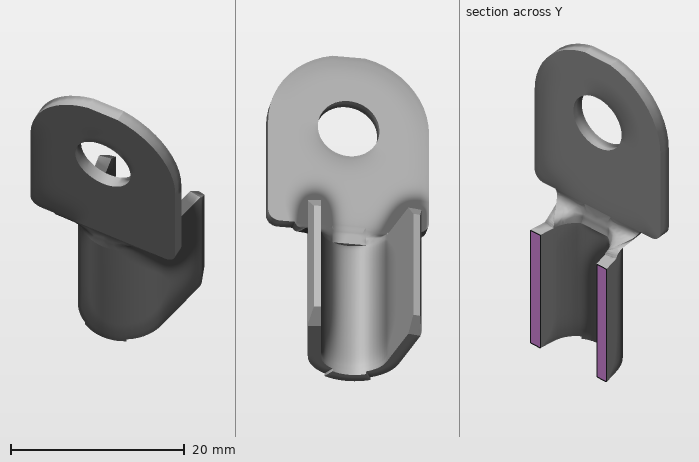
import cadquery as cq
import math


sheet = 1.5

tongue_width = 18.8
tongue_top_z = 9.2
tongue_bottom_z = -12.93
tongue_corner_radius = 1.35
hole_diameter = 7.2
hole_z = -0.15

overall_height = 41.53
neck_height = 2.55
seam_tab_height = 0.35
seam_tab_half_angle = 30.0
outer_radius = 5.4
wing_tilt = 10.0

overall_depth = 13.46
tip_bevel_length = 1.4
tip_bevel_depth = 0.65
tip_corner = 1.65

neck_lip_rise = 0.1
lip_height = 0.75
lip_outer_end = (5.3, 3.6)
lip_inner_end = (4.25, 4.15)
lip_front_y = 0.06
lip_floor_y = 1.85
lip_bulge = 0.3
waist_height = 1.55
waist_outer_end = (5.8, 1.1)
waist_inner_end = (5.65, 2.05)
waist_front_y = 0.15
waist_floor_y = 1.65
shoulder_height = 2.15
shoulder_half_width = 6.1
shoulder_front_y = 0.16
neck_top_half_width = 6.3

tongue_radius = tongue_width / 2
tongue_flat_half = math.sqrt(tongue_radius**2 - tongue_top_z**2)
inner_radius = outer_radius - sheet
part_bottom_z = tongue_top_z - overall_height
barrel_bottom_z = part_bottom_z + seam_tab_height
barrel_top_z = tongue_bottom_z - neck_height
barrel_height = barrel_top_z - barrel_bottom_z
barrel_half_angle = 90.0 - wing_tilt
tilt_sin = math.sin(math.radians(wing_tilt))
tilt_cos = math.cos(math.radians(wing_tilt))
wing_length = (overall_depth - outer_radius + inner_radius * tilt_sin) / tilt_cos
neck_half_angle = barrel_half_angle + math.degrees(neck_lip_rise / outer_radius)


def arc_point(radius, angle):
    """Point on a barrel circle; the angle is measured from the front, positive toward +X."""
    turn = math.radians(angle)
    return (radius * math.sin(turn), outer_radius - radius * math.cos(turn))


def band(half_angle, bottom_z, height):
    """Curved strip of sheet metal centred on the front of the barrel."""
    return (
        cq.Workplane("XY", origin=(0, 0, bottom_z))
        .moveTo(*arc_point(outer_radius, -half_angle))
        .threePointArc((0, 0), arc_point(outer_radius, half_angle))
        .lineTo(*arc_point(inner_radius, half_angle))
        .threePointArc((0, sheet), arc_point(inner_radius, -half_angle))
        .close()
        .extrude(height)
    )


def make_tongue():
    """Flat ring tongue: round head with a short flat on top, rounded lower corners and a hole."""
    diagonal = tongue_radius * math.sqrt(0.5)
    blank = (
        cq.Workplane("XZ")
        .moveTo(-tongue_radius, tongue_bottom_z)
        .lineTo(-tongue_radius, 0)
        .threePointArc((-diagonal, diagonal), (-tongue_flat_half, tongue_top_z))
        .lineTo(tongue_flat_half, tongue_top_z)
        .threePointArc((diagonal, diagonal), (tongue_radius, 0))
        .lineTo(tongue_radius, tongue_bottom_z)
        .close()
        .extrude(-sheet)
        .edges("|Y and <Z")
        .fillet(tongue_corner_radius)
    )
    hole = cq.Workplane("XZ", origin=(0, 0, hole_z)).circle(hole_diameter / 2).extrude(-sheet)
    return blank.cut(hole)


def make_wing():
    """Right-hand wing: tangent to the barrel, bevelled outside at the tip, with cut tip corners."""
    root = arc_point(outer_radius, barrel_half_angle)
    wing_face = cq.Plane(
        origin=(root[0], root[1], 0),
        xDir=(tilt_sin, tilt_cos, 0),
        normal=(tilt_cos, -tilt_sin, 0),
    )
    cut_corner_blank = (
        cq.Workplane(wing_face)
        .polyline([
            (0, barrel_bottom_z),
            (wing_length - tip_corner, barrel_bottom_z),
            (wing_length, barrel_bottom_z + tip_corner),
            (wing_length, barrel_top_z - tip_corner),
            (wing_length - tip_corner, barrel_top_z),
            (0, barrel_top_z),
        ])
        .close()
        .extrude(-sheet)
    )

    def place(along, inward):
        """Point in the wing's profile: distance along it from the root, depth from its outside."""
        return (
            root[0] + along * tilt_sin - inward * tilt_cos,
            root[1] + along * tilt_cos + inward * tilt_sin,
        )

    bevel = (
        cq.Workplane("XY", origin=(0, 0, barrel_bottom_z))
        .polyline([
            place(wing_length - tip_bevel_length, 0),
            place(wing_length, 0),
            place(wing_length, tip_bevel_depth),
        ])
        .close()
        .extrude(barrel_height)
    )
    return cut_corner_blank.cut(bevel)


def neck_section(height, outer_end, inner_end, front_y, floor_y, bulge):
    """Closed cross-section of the neck at a height above the barrel, symmetric about X = 0.

    The ends are given on the right-hand side. The front is an arc, or a line when it is flat;
    the back is a flat floor with a flank on each side, bowed outward by the bulge.
    """
    floor_half = arc_point(inner_radius, seam_tab_half_angle)[0]
    run = inner_end[0] - floor_half
    rise = inner_end[1] - floor_y
    length = math.hypot(run, rise)
    bow_x = (inner_end[0] + floor_half) / 2 + bulge * rise / length
    bow_y = (inner_end[1] + floor_y) / 2 - bulge * run / length

    outline = cq.Workplane("XY", origin=(0, 0, barrel_top_z + height))
    outline = outline.moveTo(-outer_end[0], outer_end[1])
    if outer_end[1] > front_y:
        outline = outline.threePointArc((0, front_y), outer_end)
    else:
        outline = outline.lineTo(*outer_end)
    outline = outline.lineTo(*inner_end)
    if bulge > 0:
        outline = outline.threePointArc((bow_x, bow_y), (floor_half, floor_y))
        outline = outline.lineTo(-floor_half, floor_y)
        outline = outline.threePointArc((-bow_x, bow_y), (-inner_end[0], inner_end[1]))
    else:
        outline = outline.lineTo(floor_half, floor_y)
        outline = outline.lineTo(-floor_half, floor_y)
        outline = outline.lineTo(-inner_end[0], inner_end[1])
    return outline.close().val()


def make_neck():
    """Neck that turns the curved barrel into the flat tongue through successive sections."""
    flank_half_angle = math.radians(neck_half_angle - seam_tab_half_angle) / 2
    barrel_section = neck_section(
        height=0,
        outer_end=arc_point(outer_radius, neck_half_angle),
        inner_end=arc_point(inner_radius, neck_half_angle),
        front_y=0,
        floor_y=arc_point(inner_radius, seam_tab_half_angle)[1],
        bulge=inner_radius * (1 - math.cos(flank_half_angle)),
    )
    lip_section = neck_section(
        lip_height, lip_outer_end, lip_inner_end, lip_front_y, lip_floor_y, lip_bulge
    )
    waist_section = neck_section(
        waist_height, waist_outer_end, waist_inner_end, waist_front_y, waist_floor_y, 0
    )
    shoulder_section = neck_section(
        shoulder_height, (shoulder_half_width, shoulder_front_y), (shoulder_half_width, sheet),
        shoulder_front_y, sheet, 0,
    )
    tongue_section = neck_section(
        neck_height, (neck_top_half_width, 0), (neck_top_half_width, sheet), 0, sheet, 0
    )
    sections = [barrel_section, lip_section, waist_section, shoulder_section, tongue_section]
    return cq.Workplane(cq.Solid.makeLoft(sections, False))


right_wing = make_wing()
barrel = band(barrel_half_angle, barrel_bottom_z, barrel_height)
barrel = barrel.union(right_wing).union(right_wing.mirror("YZ"))
seam_tab = band(seam_tab_half_angle, part_bottom_z, seam_tab_height)

result = make_tongue().union(make_neck()).union(barrel).union(seam_tab)